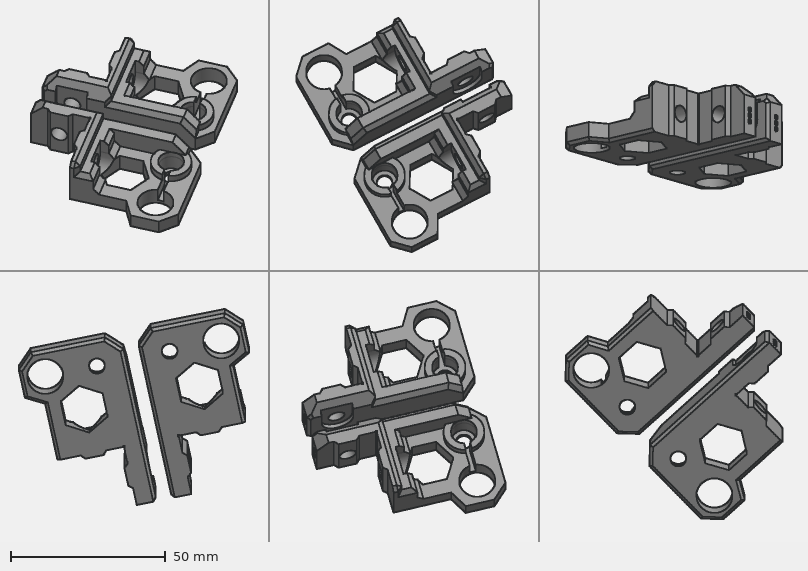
import cadquery as cq
import math


LENGTH = 57.0
WIDTH = 34.5
HEIGHT = 17.0
PAIR_WIDTH = 74.0
HALF_GAP = PAIR_WIDTH / 2 - WIDTH

PLATE_T = 6.0
CORNER_CUT = 5.0
LUG_X = 42.4
SHOULDER_X = 39.1
EDGE_CHAMFER = 1.0

ARM_T = 6.5
ARM_L = 20.0
ARM_END_CUT = 4.0
ARM_TOP_CUT = 3.5
WALL_T = 3.0
WALL_L = 28.5
WALL_CHAMFER = 1.6
RELIEF_R = 0.3

LEDGE_TOP = 13.0
LEDGE_X = 27.9
LEDGE_CHAMFER = WALL_CHAMFER
TOE = 2.0
RIB_T = 5.4
RIB_END_CUT = 4.45

BUMP_BASE = 8.4
BUMP_CREST = 6.0
BUMP_H = 1.3

MOUNT_Z = 8.0
MOUNT_D = 5.4
ARM_HOLE_X = ARM_L / 2
ARM_RECESS_D = 10.5
ARM_RECESS_DEPTH = 1.4
WALL_RECESS_D = 10.1
WALL_RECESS_X = 25.0

HEX_X = 35.0
HEX_Y = 16.5
HEX_FLATS = 13.85
BORE_X = 48.3
LARGE_BORE_Y = 26.5
LARGE_BORE_D = 11.6
SCREW_Y = 9.5
SCREW_D = 5.0
BOSS_D = 13.2
BOSS_TOP = 8.4
SEAT_D = 8.15
SEAT_RIM_D = 8.35
SEAT_RIM_Z = 6.65
SEAT_FLOOR = 1.25
SLOT_W = 2.0

DOT_D = 1.5
DOT_DEPTH = 0.5
DOT_Y = 3.8
DOT_Z = 6.5
DOT_PITCH = 2.0

WALL_X = ARM_L + WALL_T
RIB_END_X = LENGTH - CORNER_CUT

PICK_MARGIN = 0.1


def block(x0, x1, y0, y1, z0, z1):
    """Box between two opposite corners."""
    return cq.Workplane("XY").box(x1 - x0, y1 - y0, z1 - z0, centered=False).translate((x0, y0, z0))


def profile_along_y(points, depth):
    """Solid with an XZ outline, reaching from Y = 0 to Y = depth."""
    return cq.Workplane("XZ").polyline(points).close().extrude(-depth)


def cylinder_up(x, y, diameter, z0, z1):
    """Upright cylinder."""
    return cq.Workplane("XY", origin=(x, y, z0)).circle(diameter / 2).extrude(z1 - z0)


def near_box(x0, x1, y0, y1, z0, z1):
    """Selects what has its centre inside or just outside the given box."""
    low = (x0 - PICK_MARGIN, y0 - PICK_MARGIN, z0 - PICK_MARGIN)
    high = (x1 + PICK_MARGIN, y1 + PICK_MARGIN, z1 + PICK_MARGIN)
    return cq.selectors.BoxSelector(low, high)


def base_plate():
    outline = [
        (0, 0),
        (RIB_END_X, 0),
        (LENGTH, CORNER_CUT),
        (LENGTH, WIDTH - CORNER_CUT),
        (RIB_END_X, WIDTH),
        (LUG_X, WIDTH),
        (SHOULDER_X, WALL_L),
        (ARM_L, WALL_L),
        (ARM_L, ARM_T),
        (0, ARM_T),
    ]
    plate = cq.Workplane("XY").polyline(outline).close().extrude(PLATE_T)
    mount_sides = near_box(0, ARM_L, ARM_T / 2, ARM_T, 0, 0) + near_box(ARM_L, ARM_L, ARM_T, WALL_L, 0, 0)
    bottom_edges = cq.selectors.StringSyntaxSelector("<Z") - mount_sides
    free_corner = near_box(0, 0, 0, 0, 0, PLATE_T)
    return plate.edges(bottom_edges + free_corner).chamfer(EDGE_CHAMFER)


def arm():
    outline = [
        (0, PLATE_T),
        (ARM_L, PLATE_T),
        (ARM_L, HEIGHT),
        (ARM_END_CUT, HEIGHT),
        (0, HEIGHT - ARM_END_CUT),
    ]
    free_end = near_box(0, ARM_END_CUT, 0, 0, PLATE_T, HEIGHT - ARM_END_CUT / 2)
    return profile_along_y(outline, ARM_T).edges(free_end).chamfer(EDGE_CHAMFER)


def wall():
    upright = block(ARM_L, WALL_X, 0, WALL_L, PLATE_T, HEIGHT)
    ledge_side = upright.faces(">X").edges("not <Z")
    end_top = upright.faces(">Y").edges(">Z")
    return upright.newObject(ledge_side.vals() + end_top.vals()).chamfer(WALL_CHAMFER)


def inner_top_cut():
    """Wedge that slopes the inner top edge of arm and wall."""
    return (
        cq.Workplane("YZ")
        .polyline([(0, HEIGHT - ARM_TOP_CUT), (ARM_TOP_CUT, HEIGHT), (0, HEIGHT)])
        .close()
        .extrude(WALL_X)
    )


def ledge():
    outline = [
        (ARM_L, PLATE_T),
        (LEDGE_X + TOE, PLATE_T),
        (LEDGE_X, PLATE_T + TOE),
        (LEDGE_X, LEDGE_TOP),
        (ARM_L, LEDGE_TOP),
    ]
    return profile_along_y(outline, WALL_L).faces(">Z").edges("not <X").chamfer(LEDGE_CHAMFER)


def rib():
    outline = [
        (ARM_L, PLATE_T),
        (RIB_END_X, PLATE_T),
        (RIB_END_X, LEDGE_TOP - RIB_END_CUT),
        (RIB_END_X - RIB_END_CUT, LEDGE_TOP),
        (ARM_L, LEDGE_TOP),
    ]
    return profile_along_y(outline, RIB_T).faces("<Y").edges("not(<Z or <X or >X)").chamfer(LEDGE_CHAMFER)


def bump():
    """Upright trapezoid bar, centred on the origin and rising toward +Y."""
    return (
        cq.Workplane("XY")
        .polyline([
            (-BUMP_BASE / 2, 0),
            (BUMP_BASE / 2, 0),
            (BUMP_CREST / 2, BUMP_H),
            (-BUMP_CREST / 2, BUMP_H),
        ])
        .close()
        .extrude(HEIGHT)
    )


def mount_cuts():
    """Hole and U-shaped recess through the arm, and the same through the wall."""
    arm_axis = cq.Workplane("XZ", origin=(ARM_HOLE_X, 0, MOUNT_Z))
    arm_hole = arm_axis.circle(MOUNT_D / 2).extrude(-(ARM_T + BUMP_H))
    arm_seat = arm_axis.circle(ARM_RECESS_D / 2).extrude(-ARM_RECESS_DEPTH)
    arm_opening = block(
        ARM_HOLE_X - ARM_RECESS_D / 2, ARM_HOLE_X + ARM_RECESS_D / 2, 0, ARM_RECESS_DEPTH, MOUNT_Z, HEIGHT
    )
    wall_hole = (
        cq.Workplane("YZ", origin=(ARM_L - BUMP_H, HEX_Y, MOUNT_Z))
        .circle(MOUNT_D / 2)
        .extrude(HEX_X - ARM_L + BUMP_H)
    )
    wall_seat = (
        cq.Workplane("YZ", origin=(WALL_RECESS_X, HEX_Y, MOUNT_Z))
        .circle(WALL_RECESS_D / 2)
        .extrude(HEX_X - WALL_RECESS_X)
    )
    wall_opening = block(
        WALL_RECESS_X, HEX_X, HEX_Y - WALL_RECESS_D / 2, HEX_Y + WALL_RECESS_D / 2, MOUNT_Z, HEIGHT
    )
    return [arm_hole, arm_seat, arm_opening, wall_hole, wall_seat, wall_opening]


def plate_cuts():
    """Hexagon, large bore, and the screw seat with its slot to the large bore."""
    hex_corners = HEX_FLATS / math.cos(math.pi / 6)
    hexagon = cq.Workplane("XY", origin=(HEX_X, HEX_Y, 0)).polygon(6, hex_corners).extrude(PLATE_T)
    large_bore = cylinder_up(BORE_X, LARGE_BORE_Y, LARGE_BORE_D, 0, PLATE_T)
    screw_hole = cylinder_up(BORE_X, SCREW_Y, SCREW_D, 0, BOSS_TOP)
    seat = cylinder_up(BORE_X, SCREW_Y, SEAT_D, SEAT_FLOOR, BOSS_TOP)
    flare = (
        cq.Workplane("XY", origin=(BORE_X, SCREW_Y, SEAT_RIM_Z))
        .circle(SEAT_D / 2)
        .workplane(offset=BOSS_TOP - SEAT_RIM_Z)
        .circle(SEAT_RIM_D / 2)
        .loft()
    )
    slot = block(BORE_X - SLOT_W / 2, BORE_X + SLOT_W / 2, SCREW_Y, LARGE_BORE_Y, SEAT_FLOOR, BOSS_TOP)
    return [hexagon, large_bore, screw_hole, seat, flare, slot]


def end_dots():
    spots = [(DOT_Y, DOT_Z + step * DOT_PITCH) for step in (-1, 0, 1)]
    return cq.Workplane("YZ").pushPoints(spots).circle(DOT_D / 2).extrude(DOT_DEPTH)


def bracket():
    uprights = arm().union(wall()).cut(inner_top_cut())
    body = base_plate().union(uprights).union(ledge()).union(rib())
    body = body.union(cylinder_up(BORE_X, SCREW_Y, BOSS_D, PLATE_T, BOSS_TOP))
    for cut in plate_cuts():
        body = body.cut(cut)
    body = body.union(bump().translate((ARM_HOLE_X, ARM_T, 0)))
    wall_bump = bump().rotate((0, 0, 0), (0, 0, 1), 90).translate((ARM_L, HEX_Y, 0))
    body = body.union(wall_bump)
    for cut in mount_cuts():
        body = body.cut(cut)
    body = body.cut(end_dots())
    return body.cut(cylinder_up(ARM_L, ARM_T, 2 * RELIEF_R, 0, HEIGHT)).clean()


left_bracket = bracket().translate((0, HALF_GAP, 0))
right_bracket = left_bracket.mirror("XZ")

result = cq.Compound.makeCompound([left_bracket.val(), right_bracket.val()])